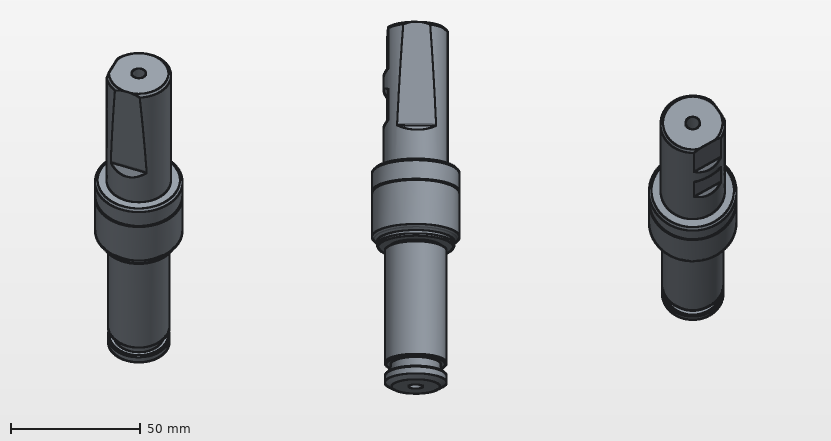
import cadquery as cq
import math

TOTAL_LENGTH = 144.5
BORE_DIAMETER = 5.5

SHANK_RADIUS = 25.0 / 2
SHANK_CHAMFER = 1.0

COLLAR_RADIUS = 34.0 / 2
COLLAR_TOP = 87.5
COLLAR_TOP_CHAMFER = 1.0
SEAM_TOP = 79.0
SEAM_WIDTH = 0.5
SEAM_DEPTH = 0.1
COLLAR_SIDE_BOTTOM = 60.7
COLLAR_EDGE_CHAMFER = 0.9
LIP_RADIUS = 30.0 / 2
LIP_TOP = 58.8
LIP_BOTTOM = 56.6
LIP_CHAMFER_WIDTH = 0.5
LIP_CHAMFER_HEIGHT = 0.9

NECK_RADIUS = 20.0 / 2
BARREL_RADIUS = 24.0 / 2
BARREL_TOP = 55.2
GROOVE_RADIUS = 19.5 / 2
GROOVE_TOP = 9.0
GROOVE_BOTTOM = 4.9
GROOVE_EDGE_CHAMFER = 0.6
FLANGE_SIDE_BOTTOM = 1.6
END_FACE_RADIUS = 9.4

FLAT_DISTANCE = 10.8
UPPER_FLAT_BOTTOM = 127.5
LOWER_FLAT_TOP = 118.6
LOWER_FLAT_BOTTOM = 106.5

TILT_ANGLE = 2.0
TILTED_FLAT_DISTANCE = 10.0
TILTED_FLAT_BOTTOM = 102.9
TILTED_FLAT_LAND = 0.7

CLEARANCE = 2.9
CUT_REACH = SHANK_RADIUS + CLEARANCE


def turned_body():
    """Solid of revolution, outlined as (radius, height) from top to bottom."""
    collar_edge_radius = COLLAR_RADIUS - COLLAR_EDGE_CHAMFER
    seam_radius = COLLAR_RADIUS - SEAM_DEPTH
    barrel_edge_radius = BARREL_RADIUS - GROOVE_EDGE_CHAMFER
    outline = [
        (0, TOTAL_LENGTH),
        (SHANK_RADIUS - SHANK_CHAMFER, TOTAL_LENGTH),
        (SHANK_RADIUS, TOTAL_LENGTH - SHANK_CHAMFER),
        (SHANK_RADIUS, COLLAR_TOP),
        (COLLAR_RADIUS - COLLAR_TOP_CHAMFER, COLLAR_TOP),
        (COLLAR_RADIUS, COLLAR_TOP - COLLAR_TOP_CHAMFER),
        (COLLAR_RADIUS, SEAM_TOP),
        (seam_radius, SEAM_TOP),
        (seam_radius, SEAM_TOP - SEAM_WIDTH),
        (COLLAR_RADIUS, SEAM_TOP - SEAM_WIDTH),
        (COLLAR_RADIUS, COLLAR_SIDE_BOTTOM),
        (collar_edge_radius, COLLAR_SIDE_BOTTOM - COLLAR_EDGE_CHAMFER),
        (LIP_RADIUS, LIP_TOP),
        (LIP_RADIUS, LIP_BOTTOM + LIP_CHAMFER_HEIGHT),
        (LIP_RADIUS - LIP_CHAMFER_WIDTH, LIP_BOTTOM),
        (NECK_RADIUS, LIP_BOTTOM),
        (NECK_RADIUS, BARREL_TOP),
        (BARREL_RADIUS, BARREL_TOP),
        (BARREL_RADIUS, GROOVE_TOP + GROOVE_EDGE_CHAMFER),
        (barrel_edge_radius, GROOVE_TOP),
        (GROOVE_RADIUS, GROOVE_TOP),
        (GROOVE_RADIUS, GROOVE_BOTTOM),
        (barrel_edge_radius, GROOVE_BOTTOM),
        (BARREL_RADIUS, GROOVE_BOTTOM - GROOVE_EDGE_CHAMFER),
        (BARREL_RADIUS, FLANGE_SIDE_BOTTOM),
        (END_FACE_RADIUS, 0),
        (0, 0),
    ]
    return cq.Workplane("XZ").polyline(outline).close().revolve(360, (0, 0), (0, 1))


def flat_cutter(side_outline, direction):
    """Cutter with a (radial distance, height) side outline, facing an angle about Z from +X."""
    prism = cq.Workplane("XZ").polyline(side_outline).close().extrude(CUT_REACH, both=True)
    return prism.rotate((0, 0, 0), (0, 0, 1), direction)


def upper_flat():
    ramp = CUT_REACH - FLAT_DISTANCE
    top = TOTAL_LENGTH + CLEARANCE
    outline = [
        (FLAT_DISTANCE, top),
        (FLAT_DISTANCE, UPPER_FLAT_BOTTOM),
        (CUT_REACH, UPPER_FLAT_BOTTOM - ramp),
        (CUT_REACH, top),
    ]
    return flat_cutter(outline, 225)


def lower_flat():
    ramp = CUT_REACH - FLAT_DISTANCE
    outline = [
        (FLAT_DISTANCE, LOWER_FLAT_TOP),
        (FLAT_DISTANCE, LOWER_FLAT_BOTTOM),
        (CUT_REACH, LOWER_FLAT_BOTTOM - ramp),
        (CUT_REACH, LOWER_FLAT_TOP + ramp),
    ]
    return flat_cutter(outline, 225)


def tilted_flat():
    ramp = CUT_REACH - TILTED_FLAT_DISTANCE
    land_top = TILTED_FLAT_BOTTOM + TILTED_FLAT_LAND
    top = TOTAL_LENGTH + CLEARANCE
    rise = (top - land_top) * math.tan(math.radians(TILT_ANGLE))
    outline = [
        (TILTED_FLAT_DISTANCE + rise, top),
        (TILTED_FLAT_DISTANCE, land_top),
        (TILTED_FLAT_DISTANCE, TILTED_FLAT_BOTTOM),
        (CUT_REACH, TILTED_FLAT_BOTTOM - ramp),
        (CUT_REACH, top),
    ]
    return flat_cutter(outline, 315)


bore = cq.Workplane("XY").circle(BORE_DIAMETER / 2).extrude(TOTAL_LENGTH)

result = turned_body()
for cutter in (upper_flat(), lower_flat(), tilted_flat(), bore):
    result = result.cut(cutter)